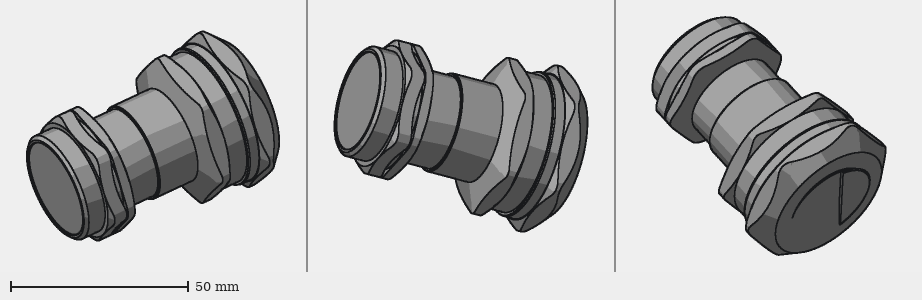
import math

import cadquery as cq


ENTRY_END = 0.0
LOCKNUT_FRONT = 6.4
LOCKNUT_BACK = 11.55
COLLAR_FRONT = 10.22
COLLAR_NUT_FRONT = 11.93
COLLAR_NUT_BACK = 16.5
SLEEVE_FRONT = 25.67
BODY_NUT_FRONT = 38.54
BODY_NUT_BACK = 45.5
RING_FRONT = 51.25
CAP_NUT_FRONT = 54.72
CAP_NUT_BACK = 63.03
OVERALL_LENGTH = 64.83

ENTRY_DIAMETER = 32.0
ENTRY_CHAMFER = 1.0
RECESS_DIAMETER = 28.6
RECESS_FLOOR_DIAMETER = 28.2
RECESS_DEPTH = 0.3
COLLAR_DIAMETER = 34.3
NECK_DIAMETER = 27.0
SLEEVE_DIAMETER = 28.6
SLEEVE_CHAMFER = 0.25
BODY_DIAMETER = 40.0
RING_DIAMETER = 42.0
RING_CHAMFER_LENGTH = 0.5
RING_CHAMFER_DEPTH = 0.2

HEX_HALF_ANGLE = 30.0
SMALL_FLATS = 35.0
SMALL_CORNER_RADIUS = 5.2
BODY_FLATS = 40.0
BODY_CORNER_RADIUS = 3.1
CAP_FLATS = 43.0
CAP_CORNER_RADIUS = 5.0
CAP_FRONT_DIAMETER = 42.5
CAP_FACE_DIAMETER = 37.2

NUT_CHAMFER_ANGLE = 30.0
COLLAR_NUT_BACK_ANGLE = 21.0
BODY_NUT_FRONT_ANGLE = 20.0
CAP_NUT_BACK_ANGLE = 45.0

STUB_ROOT_DIAMETER = 25.4
STUB_RIM_DIAMETER = 27.6
STUB_TOP_DIAMETER = 26.8
STUB_RIM_DROP = 0.3
STUB_FLARE_DROP = 1.4
STUB_TILT = 2.9
STUB_LEAN = 0.7
STUB_STEP_X = -3.8
STUB_STEP_HEIGHT = 1.1
STUB_ROOT_DEPTH = 3.0


def cylinder(diameter, start, end):
    """Round section along Y from start to end."""
    plane = cq.Workplane("XZ", origin=(0, start, 0))
    return plane.circle(diameter / 2).extrude(start - end)


def turned(outline):
    """Revolve (radius, y) points, closed on the axis, about Y."""
    first_y = outline[0][1]
    last_y = outline[-1][1]
    points = [(0, first_y)] + outline + [(0, last_y)]
    return cq.Workplane("XY").polyline(points).close().revolve(360, (0, 0, 0), (0, 1, 0))


def rise(from_radius, to_radius, angle):
    """Axial run of a cone between two radii."""
    return (to_radius - from_radius) * math.tan(math.radians(angle))


def corner_reach(flats):
    """Centre-to-corner distance of a sharp hexagon."""
    return flats / 2 / math.cos(math.radians(HEX_HALF_ANGLE))


def hexagon(flats, corner_radius, start, end):
    """Hexagonal bar along Y with rounded corners, two of them on the X axis."""
    plane = cq.Workplane("XZ", origin=(0, start, 0))
    bar = plane.polygon(6, 2 * corner_reach(flats)).extrude(start - end)
    return bar.edges("|Y").fillet(corner_radius)


def entry_end():
    """Plain entry barrel with a chamfered rim and a shallow tapered recess."""
    barrel = cylinder(ENTRY_DIAMETER, ENTRY_END, COLLAR_FRONT)
    barrel = barrel.faces("<Y").chamfer(ENTRY_CHAMFER)
    recess = turned([
        (RECESS_DIAMETER / 2, ENTRY_END),
        (RECESS_FLOOR_DIAMETER / 2, ENTRY_END + RECESS_DEPTH),
    ])
    return barrel.cut(recess)


def locknut():
    """Thin nut, chamfered in front and dished at the back around the collar."""
    flat = SMALL_FLATS / 2
    corner = corner_reach(SMALL_FLATS)
    collar = COLLAR_DIAMETER / 2
    chamfer = rise(flat, corner, NUT_CHAMFER_ANGLE)
    envelope = turned([
        (flat, LOCKNUT_FRONT),
        (corner, LOCKNUT_FRONT + chamfer),
        (corner, COLLAR_FRONT + rise(collar, corner, NUT_CHAMFER_ANGLE)),
        (collar, COLLAR_FRONT),
    ])
    return hexagon(SMALL_FLATS, SMALL_CORNER_RADIUS, LOCKNUT_FRONT, LOCKNUT_BACK).intersect(envelope)


def collar_nut():
    """Nut with a flat front and a long cone running up to the neck."""
    corner = corner_reach(SMALL_FLATS)
    neck = NECK_DIAMETER / 2
    envelope = turned([
        (corner, COLLAR_NUT_FRONT),
        (corner, COLLAR_NUT_BACK - rise(neck, corner, COLLAR_NUT_BACK_ANGLE)),
        (neck, COLLAR_NUT_BACK),
    ])
    return hexagon(SMALL_FLATS, SMALL_CORNER_RADIUS, COLLAR_NUT_FRONT, COLLAR_NUT_BACK).intersect(envelope)


def sleeve():
    """Larger tube between the neck and the body nut."""
    tube = cylinder(SLEEVE_DIAMETER, SLEEVE_FRONT, BODY_NUT_FRONT)
    return tube.faces("<Y").chamfer(SLEEVE_CHAMFER)


def body_nut():
    """Body hexagon with a cone down to the sleeve and a chamfered back."""
    corner = corner_reach(BODY_FLATS)
    tube = SLEEVE_DIAMETER / 2
    envelope = turned([
        (tube, BODY_NUT_FRONT),
        (corner, BODY_NUT_FRONT + rise(tube, corner, BODY_NUT_FRONT_ANGLE)),
        (corner, BODY_NUT_BACK - rise(BODY_DIAMETER / 2, corner, NUT_CHAMFER_ANGLE)),
        (BODY_DIAMETER / 2, BODY_NUT_BACK),
    ])
    return hexagon(BODY_FLATS, BODY_CORNER_RADIUS, BODY_NUT_FRONT, BODY_NUT_BACK).intersect(envelope)


def seal_ring():
    """Ring in front of the cap nut, with a slightly relieved front edge."""
    outer = RING_DIAMETER / 2
    return turned([
        (outer - RING_CHAMFER_DEPTH, RING_FRONT),
        (outer, RING_FRONT + RING_CHAMFER_LENGTH),
        (outer, CAP_NUT_FRONT),
    ])


def cap_nut():
    """Cap hexagon, chamfered in front and coned back to its round end face."""
    front = CAP_FRONT_DIAMETER / 2
    corner = corner_reach(CAP_FLATS)
    face = CAP_FACE_DIAMETER / 2
    envelope = turned([
        (front, CAP_NUT_FRONT),
        (corner, CAP_NUT_FRONT + rise(front, corner, NUT_CHAMFER_ANGLE)),
        (corner, CAP_NUT_BACK - rise(face, corner, CAP_NUT_BACK_ANGLE)),
        (face, CAP_NUT_BACK),
    ])
    return hexagon(CAP_FLATS, CAP_CORNER_RADIUS, CAP_NUT_FRONT, CAP_NUT_BACK).intersect(envelope)


def cable_stub():
    """Tilted flared stub, stepped down on its +X side, raised to the overall length."""
    stub = turned([
        (STUB_ROOT_DIAMETER / 2, -STUB_ROOT_DEPTH),
        (STUB_ROOT_DIAMETER / 2, -STUB_FLARE_DROP),
        (STUB_RIM_DIAMETER / 2, -STUB_RIM_DROP),
        (STUB_TOP_DIAMETER / 2, 0),
    ])
    step_width = STUB_RIM_DIAMETER / 2 - STUB_STEP_X
    step = cq.Workplane("XY").box(step_width, 2 * STUB_STEP_HEIGHT, STUB_RIM_DIAMETER)
    step = step.translate((STUB_STEP_X + step_width / 2, 0, 0))
    stub = stub.cut(step)
    stub = stub.rotate((0, 0, 0), (1, 0, 0), -STUB_TILT)
    stub = stub.rotate((0, 0, 0), (0, 0, 1), -STUB_LEAN)
    lift = OVERALL_LENGTH - stub.val().BoundingBox().ymax
    return stub.translate((0, lift, 0))


result = (
    entry_end()
    .union(locknut())
    .union(cylinder(COLLAR_DIAMETER, COLLAR_FRONT, COLLAR_NUT_FRONT))
    .union(collar_nut())
    .union(cylinder(NECK_DIAMETER, COLLAR_NUT_BACK, SLEEVE_FRONT))
    .union(sleeve())
    .union(body_nut())
    .union(cylinder(BODY_DIAMETER, BODY_NUT_BACK, RING_FRONT))
    .union(seal_ring())
    .union(cap_nut())
    .union(cable_stub())
)